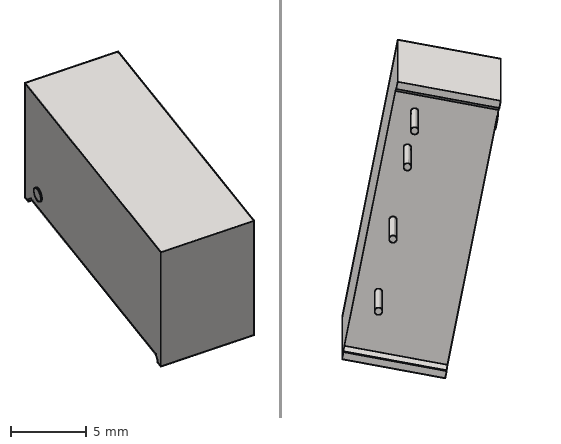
import cadquery as cq

length = 19.6
depth = 7.0
height = 10.0

foot_width = 0.5
recess_height = 0.5
recess_chamfer = 0.3

pin_diameter = 0.5
pin_drop = 4.0
pin_pitch = 2.55
first_pin_x = 1.98
pin_slots = (0, 1, 3, 5)
pin_to_back = 1.53
pin_y = depth - pin_to_back

dot_diameter = 1.0
dot_thickness = 0.1
dot_z = 1.75


def make_housing():
    """Block with a chamfered recess running through its underside."""
    block = cq.Workplane("XY").box(length, depth, height, centered=False)
    recess = (
        cq.Workplane("XY")
        .box(length - 2 * foot_width, depth, recess_height, centered=False)
        .edges("|Y and >Z")
        .chamfer(recess_chamfer)
        .translate((foot_width, 0, 0))
    )
    return block.cut(recess)


def make_pins():
    """Round pins hanging from the recessed underside."""
    centers = [(first_pin_x + slot * pin_pitch, pin_y) for slot in pin_slots]
    return (
        cq.Workplane("XY", origin=(0, 0, -pin_drop))
        .pushPoints(centers)
        .circle(pin_diameter / 2)
        .extrude(pin_drop + recess_height)
    )


def make_dot():
    """Flat disc standing out from the front face above the first pin."""
    return (
        cq.Workplane("XZ")
        .center(first_pin_x, dot_z)
        .circle(dot_diameter / 2)
        .extrude(dot_thickness)
    )


result = make_housing().union(make_pins()).union(make_dot())